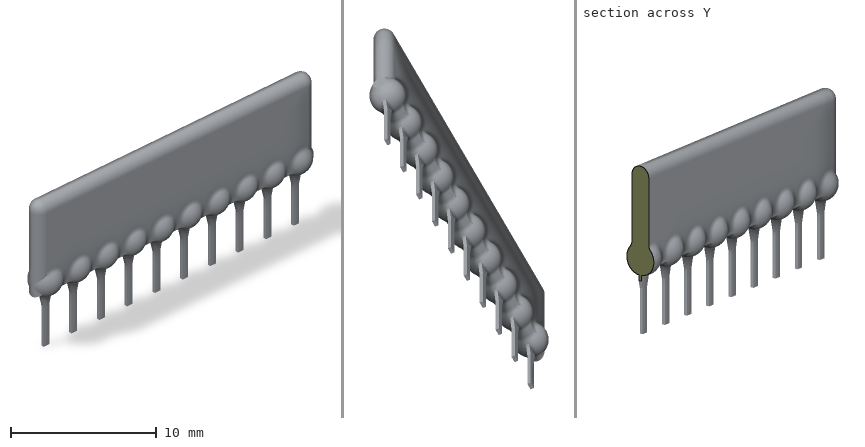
import cadquery as cq
import math

length = 25.35
height = 12.2
thickness = 1.5
end_radius = thickness / 2
flat_length = length - thickness
top_axis_z = height - end_radius

ball_count = 10
ball_radius = 1.25
ball_z = 5.45
pitch = (length - 2 * ball_radius) / (ball_count - 1)
ball_ys = [(i - (ball_count - 1) / 2) * pitch for i in range(ball_count)]

blend_radius = 0.5
belly_radius = 0.95

lead_width = 0.5
lead_thickness = 0.25
lead_shoulder_z = 3.32
lead_root_z = 4.25
lead_root_width = 0.96


def cylinder_along_y(radius, start_y, end_y, z):
    start = cq.Workplane("XZ", origin=(0, start_y, z))
    return start.circle(radius).extrude(start_y - end_y)


def blend_section(offset):
    """Half section of a ball blending into a surface at `offset` from its centre.

    Local x runs along the surface and local y runs away from it.
    """
    centre_y = offset + blend_radius
    reach = math.sqrt((ball_radius + blend_radius) ** 2 - centre_y**2)
    angle = math.atan2(centre_y, reach)
    touch = (ball_radius * math.cos(angle), ball_radius * math.sin(angle))
    towards_ball = math.pi + angle
    towards_surface = 1.5 * math.pi
    middle_angle = (towards_ball + towards_surface) / 2
    middle = (
        reach + blend_radius * math.cos(middle_angle),
        centre_y + blend_radius * math.sin(middle_angle),
    )
    section = cq.Workplane(cq.Plane((0, 0, 0), (0, 1, 0), (0, 0, 1)))
    section = section.lineTo(reach, 0).lineTo(reach, offset).threePointArc(middle, touch)
    return section.lineTo(0, touch[1]).close()


def make_slab():
    """Upright slab with fully rounded top edge and ends."""
    slab = cq.Workplane("XY").box(thickness, flat_length, top_axis_z, centered=(True, True, False))
    slab = slab.union(cylinder_along_y(end_radius, -flat_length / 2, flat_length / 2, top_axis_z))
    for end_y in (-flat_length / 2, flat_length / 2):
        slab = slab.union(cq.Workplane("XY").center(0, end_y).circle(end_radius).extrude(top_axis_z))
        slab = slab.union(cq.Workplane("XY").sphere(end_radius).translate((0, end_y, top_axis_z)))
    return slab


def make_belly_zone():
    """Space the slab may fill: above the ball axis, or inside the rounded underside.

    The underside runs from the -Y end to the last ball and flares out to each
    pair of neighbouring balls.
    """
    above_axis = cq.Workplane("XY").box(thickness, length, height, centered=(True, True, False))
    belly = cylinder_along_y(belly_radius, -length / 2, ball_ys[-1], ball_z)
    zone = above_axis.translate((0, 0, ball_z)).union(belly)
    neck = blend_section(belly_radius).revolve(360, (0, 0), (1, 0))
    mirrored_neck = neck.mirror("XZ")
    for ball_y, next_ball_y in zip(ball_ys, ball_ys[1:]):
        zone = zone.union(neck.translate((0, ball_y, ball_z)))
        zone = zone.union(mirrored_neck.translate((0, next_ball_y, ball_z)))
    return zone


def make_flare(ball_y):
    """Flared rings between one ball and the flat faces of the slab."""
    flare = blend_section(end_radius).revolve(360, (0, 0), (0, 1))
    flare = flare.union(flare.mirror("YZ")).translate((0, ball_y, ball_z))
    belly_edge_z = ball_z - math.sqrt(belly_radius**2 - end_radius**2)
    beside_faces = cq.Workplane("XY").box(
        2 * ball_radius, flat_length, height, centered=(True, True, False)
    )
    return flare.intersect(beside_faces.translate((0, 0, belly_edge_z)))


def make_end_cap():
    """Cone tangent to the last ball at 45 degrees, ending flush with the +Y end."""
    tangent = ball_radius * math.sqrt(0.5)
    tip_radius = ball_radius * (math.sqrt(2) - 1)
    section = cq.Workplane("XY").polyline(
        [(0, 0), (tangent, tangent), (tip_radius, ball_radius), (0, ball_radius)]
    )
    return section.close().revolve(360, (0, 0), (0, 1))


def make_lead():
    """Flat lead with a tapered root that runs up into its ball."""
    taper = (lead_root_width - lead_width) / (lead_root_z - lead_shoulder_z)
    buried_z = ball_z - belly_radius / 2
    buried_width = lead_width + taper * (buried_z - lead_shoulder_z)
    return (
        cq.Workplane("YZ", origin=(-lead_thickness / 2, 0, 0))
        .moveTo(-lead_width / 2, 0)
        .lineTo(lead_width / 2, 0)
        .lineTo(lead_width / 2, lead_shoulder_z)
        .lineTo(buried_width / 2, buried_z)
        .lineTo(-buried_width / 2, buried_z)
        .lineTo(-lead_width / 2, lead_shoulder_z)
        .close()
        .extrude(lead_thickness)
    )


lead = make_lead()
ball = cq.Workplane("XY").sphere(ball_radius)

result = make_slab().intersect(make_belly_zone())
for ball_y in ball_ys:
    result = result.union(make_flare(ball_y))
    result = result.union(ball.translate((0, ball_y, ball_z)))
    result = result.union(lead.translate((0, ball_y, 0)))
result = result.union(make_end_cap().translate((0, ball_ys[-1], ball_z)))